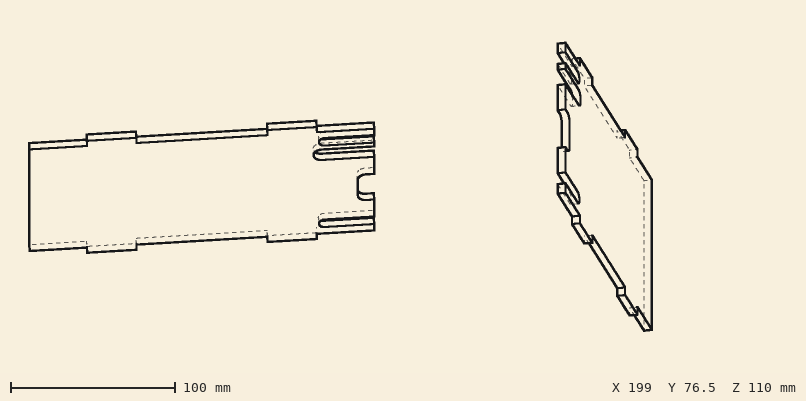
import cadquery as cq

plate_length = 210.0
plate_height = 100.0
plate_thickness = 5.0
tilt_angle = 20

tab_length = 30.0
total_height = 110.0
tab_spacing = 109.9

narrow_slot_width = 7.2
narrow_slot_depth = 33.8
narrow_slot_offset = 40.0
wide_slot_width = 10.2
wide_slot_depth = 37.0
wide_slot_height = 27.5

notch_width = 25.0
notch_depth = 10.2
notch_drop = 7.0
notch_radius = 5.0

end_x = plate_length / 2


def block(length, height):
    return cq.Workplane("XY").box(length, plate_thickness, height)


def end_cutout(depth, width, center_z, radius):
    """Cutter with rounded inner corners, extending past the end by its depth."""
    cutter = block(2 * depth, width).edges("|Y and <X").fillet(radius)
    return cutter.translate((end_x, 0, center_z))


def end_slot(depth, width, center_z):
    """Cutter with a full half-round inner end."""
    radius = width / 2
    straight = block(2 * (depth - radius), width).translate((end_x, 0, center_z))
    round_end = (
        cq.Workplane("XZ")
        .center(end_x - depth + radius, center_z)
        .circle(radius)
        .extrude(plate_thickness / 2, both=True)
    )
    return straight.union(round_end)


plate = block(plate_length, plate_height)
for side in (-1, 1):
    tabs = block(tab_length, total_height).translate((side * tab_spacing / 2, 0, 0))
    plate = plate.union(tabs)
plate = plate.clean()

for side in (-1, 1):
    plate = plate.cut(end_slot(narrow_slot_depth, narrow_slot_width, side * narrow_slot_offset))
plate = plate.cut(end_slot(wide_slot_depth, wide_slot_width, wide_slot_height))
plate = plate.cut(end_cutout(notch_depth, notch_width, -notch_drop, notch_radius))

result = plate.rotate((0, 0, 0), (0, 0, 1), tilt_angle)